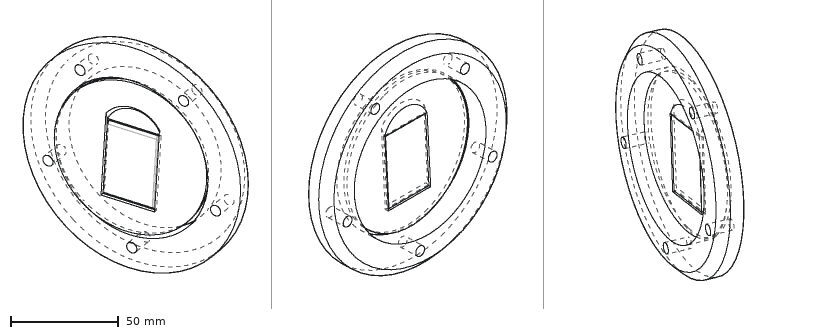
import cadquery as cq
import math

RING_DIAMETER = 118.0
RING_BORE = 82.5
RING_THICKNESS = 12.0
RING_CHAMFER = 5.0
HOLE_DIAMETER = 5.5
HOLE_COUNT = 5
HOLE_CIRCLE_RADIUS = 47.75
FIRST_HOLE_ANGLE = -90.0

DISC_DIAMETER = 80.0
DISC_THICKNESS = 2.0
DISC_ROLL = 3.335
DISC_TILT = 3.365
DISC_SHIFT_X = -0.76
FRONT_OVERHANG = 2.17

SLOT_WIDTH = 28.1
SLOT_HEIGHT = 40.52
SLOT_CENTER_Z = -4.73

RECESS_RADIUS = 16.95
RECESS_FLOOR_RADIUS = 15.06
RECESS_CENTER_Z = 9.9
RECESS_FLOOR_THICKNESS = 0.2
RECESS_DEPTH = DISC_THICKNESS - RECESS_FLOOR_THICKNESS

FLAP_THICKNESS = 1.7
FLAP_SIDE_GAP = 0.8
FLAP_BOTTOM_GAP = 0.8
FLAP_TOP_GAP = 0.33
FLAP_WIDTH = SLOT_WIDTH - 2 * FLAP_SIDE_GAP
FLAP_HEIGHT = SLOT_HEIGHT - FLAP_BOTTOM_GAP - FLAP_TOP_GAP
FLAP_CENTER_Z = SLOT_CENTER_Z + (FLAP_BOTTOM_GAP - FLAP_TOP_GAP) / 2
FLAP_TOP_FILLET = 1.25
FLAP_SIDE_FILLET = 0.5
FLAP_BOTTOM_CHAMFER = 1.0


def front_plane():
    """XZ sketch plane; a negative extrusion goes toward +Y, into the part."""
    return cq.Workplane("XZ")


def plate(width, height, thickness, center_z):
    """Rectangular plate with its front face at Y = 0."""
    return front_plane().center(0, center_z).rect(width, height).extrude(-thickness)


def build_ring():
    """Flat ring with a chamfered back rim and a circle of through holes."""
    ring = front_plane().circle(RING_DIAMETER / 2).extrude(-RING_THICKNESS)
    ring = ring.faces(">Y").edges().chamfer(RING_CHAMFER)
    bore = front_plane().circle(RING_BORE / 2).extrude(-RING_THICKNESS)
    holes = (
        front_plane()
        .polarArray(HOLE_CIRCLE_RADIUS, FIRST_HOLE_ANGLE, 360, HOLE_COUNT)
        .circle(HOLE_DIAMETER / 2)
        .extrude(-RING_THICKNESS)
    )
    return ring.cut(bore).cut(holes)


def build_recess():
    """Cone narrowing toward its floor, limited to the width of the slot."""
    cone = cq.Solid.makeCone(
        RECESS_RADIUS,
        RECESS_FLOOR_RADIUS,
        RECESS_DEPTH,
        pnt=cq.Vector(0, 0, RECESS_CENTER_Z),
        dir=cq.Vector(0, 1, 0),
    )
    band = plate(SLOT_WIDTH, 2 * RECESS_RADIUS, RECESS_DEPTH, RECESS_CENTER_Z)
    return band.intersect(cq.Workplane(cone))


def build_disc():
    """Thin disc with the slot and the finger recess, before it is tilted."""
    disc = front_plane().circle(DISC_DIAMETER / 2).extrude(-DISC_THICKNESS)
    slot = plate(SLOT_WIDTH, SLOT_HEIGHT, DISC_THICKNESS, SLOT_CENTER_Z)
    return disc.cut(slot).cut(build_recess())


def build_flap():
    """Plate with a chamfered bottom edge and rounded top and side edges."""
    flap = plate(FLAP_WIDTH, FLAP_HEIGHT, FLAP_THICKNESS, FLAP_CENTER_Z)
    flap = flap.faces("<Y").edges("<Z").chamfer(FLAP_BOTTOM_CHAMFER)
    flap = flap.faces("<Y").edges(">Z").fillet(FLAP_TOP_FILLET)
    return flap.faces("<Y").edges("<X or >X").fillet(FLAP_SIDE_FILLET)


def place_in_ring(body):
    """Turn and shift the disc, or the flap in it, to its place in the ring."""
    edge_rise = DISC_DIAMETER / 2 * math.sin(math.radians(DISC_TILT))
    return (
        body.rotate((0, 0, 0), (0, 1, 0), DISC_ROLL)
        .rotate((0, 0, 0), (0, 0, 1), DISC_TILT)
        .translate((DISC_SHIFT_X, edge_rise - FRONT_OVERHANG, 0))
    )


ring = build_ring()
disc = place_in_ring(build_disc())
flap = place_in_ring(build_flap())

result = cq.Compound.makeCompound([ring.val(), disc.val(), flap.val()])